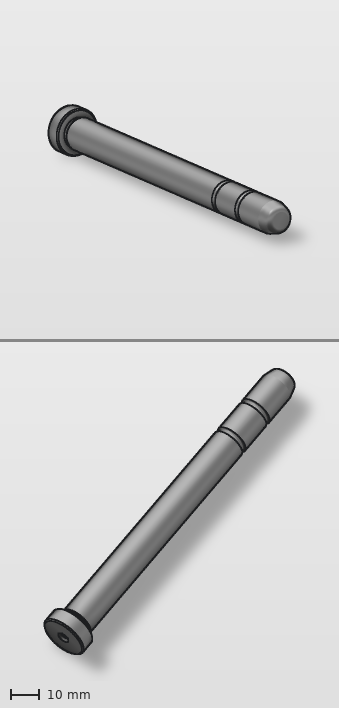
import cadquery as cq
import math

total_length = 130.0
shaft_radius = 12.0 / 2

head_radius = 17.0 / 2
head_length = 6.0
head_chamfer = 0.5

neck_radius = 11.2 / 2
neck_end = 7.5
neck_shoulder_end = 7.9

groove_ends = (98.7, 112.8)
groove_length = 2.0
groove_arc_length = 0.85
groove_slope_depth = 0.6

tip_length = 5.0
tip_angle = math.radians(15)
tip_round = 2.0

hole_radius = 2.5 / 2
countersink_radius = 4.4 / 2
hole_depth = 8.0
drill_point_angle = math.radians(59)


def add_groove(profile, end):
    """Continue the profile along the shaft, down a groove's slope and up its concave arc."""
    slope_end = (end - groove_arc_length, shaft_radius - groove_slope_depth)
    return (
        profile.lineTo(end - groove_length, shaft_radius)
        .lineTo(*slope_end)
        .tangentArcPoint((end, shaft_radius), relative=False)
    )


def add_tip(profile):
    """Finish the profile with a taper and an arc tangent to it and to the end face."""
    tip_start = total_length - tip_length
    round_center_x = total_length - tip_round
    taper_end_x = round_center_x + tip_round * math.sin(tip_angle)
    taper_end_radius = shaft_radius - (taper_end_x - tip_start) * math.tan(tip_angle)
    round_center_radius = taper_end_radius - tip_round * math.cos(tip_angle)
    middle_angle = (math.pi / 2 - tip_angle) / 2
    round_middle = (
        round_center_x + tip_round * math.cos(middle_angle),
        round_center_radius + tip_round * math.sin(middle_angle),
    )
    return (
        profile.lineTo(tip_start, shaft_radius)
        .lineTo(taper_end_x, taper_end_radius)
        .threePointArc(round_middle, (total_length, round_center_radius))
        .lineTo(total_length, 0)
    )


def make_pin():
    """Revolve the head, neck, shaft and tip about the X axis."""
    profile = (
        cq.Workplane("XY")
        .lineTo(0, head_radius - head_chamfer)
        .lineTo(head_chamfer, head_radius)
        .lineTo(head_length - head_chamfer, head_radius)
        .lineTo(head_length, head_radius - head_chamfer)
        .lineTo(head_length, neck_radius)
        .lineTo(neck_end, neck_radius)
        .lineTo(neck_shoulder_end, shaft_radius)
    )
    for end in groove_ends:
        profile = add_groove(profile, end)
    return add_tip(profile).close().revolve(360, (0, 0, 0), (1, 0, 0))


def make_hole():
    """Countersunk blind hole with a drill point, running along X from the head face."""
    countersink_depth = countersink_radius - hole_radius
    point_length = hole_radius / math.tan(drill_point_angle)
    return (
        cq.Workplane("XY")
        .lineTo(0, countersink_radius)
        .lineTo(countersink_depth, hole_radius)
        .lineTo(hole_depth, hole_radius)
        .lineTo(hole_depth + point_length, 0)
        .close()
        .revolve(360, (0, 0, 0), (1, 0, 0))
    )


result = make_pin().cut(make_hole())